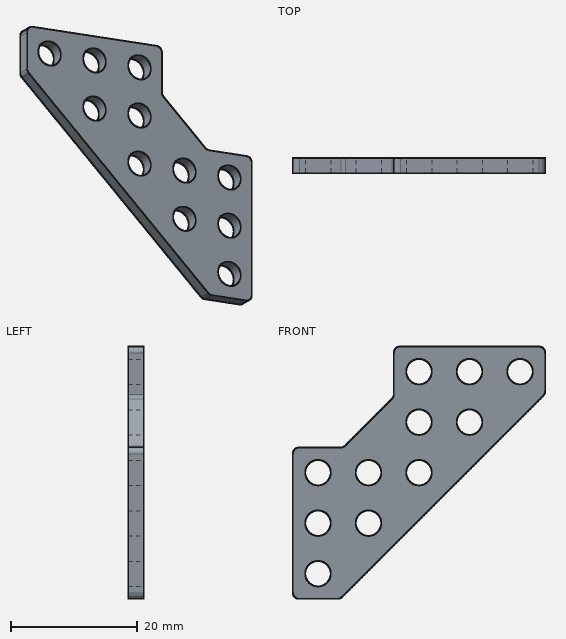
import cadquery as cq

side = 40.0
thickness = 2.5
pitch = 8.0
hole_diameter = 4.0
corner_radius = 1.0
foot_width = 7.5

edge_margin = pitch / 2
arm_width = 3 * pitch
notch_leg = pitch

hole_cells = [(0, 0), (0, 1), (0, 2), (1, 1), (1, 2), (2, 2), (2, 3), (2, 4), (3, 3), (3, 4), (4, 4)]


def make_plate():
    """Flat angled plate in the XZ plane, with every corner rounded."""
    outline = [
        (0, 0),
        (foot_width, 0),
        (side, side - foot_width),
        (side, side),
        (side - arm_width, side),
        (side - arm_width, side - notch_leg),
        (notch_leg, arm_width),
        (0, arm_width),
    ]
    plate = cq.Workplane("XZ").polyline(outline).close().extrude(thickness)
    return plate.edges("|Y").fillet(corner_radius)


def make_holes():
    """Through holes on the square grid."""
    centres = [(edge_margin + column * pitch, edge_margin + row * pitch) for column, row in hole_cells]
    return cq.Workplane("XZ").pushPoints(centres).circle(hole_diameter / 2).extrude(thickness)


result = make_plate().cut(make_holes())